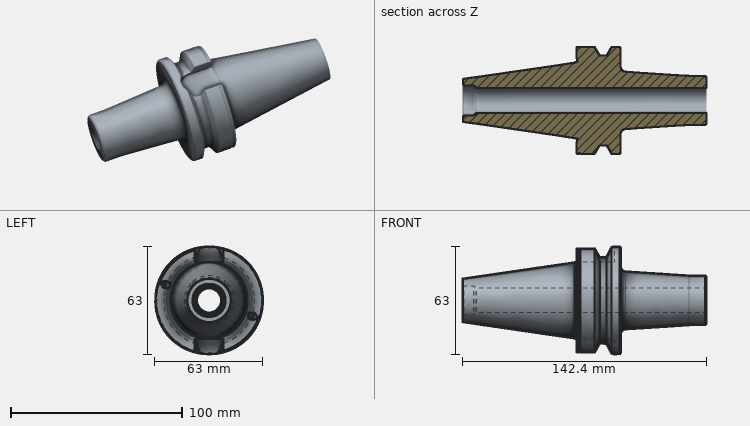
import cadquery as cq
import math

overall_length = 142.4

gauge_x = 65.4
gauge_radius = 22.2
taper_slope = 7 / 48
taper_end_radius = gauge_radius - gauge_x * taper_slope

collar_x = 65.8
collar_radius = 22.5

flange_front_x = 66.4
flange_back_x = 92.4
flange_radius = 31.5
flange_front_round = 0.9
flange_back_chamfer = 0.9
recess_radius = 25.0
recess_depth = 0.5

grip_center_x = 82.0
grip_width = 10.0
grip_root_radius = 26.5
grip_root_round = 0.4
grip_lean = math.radians(30)

ring_groove_x = 68.0
ring_groove_width = 1.3
ring_groove_root_width = 0.4
ring_groove_depth = 0.4

nose_radius = 14.5
nose_length = 10.1
nose_chamfer = 1.0
neck_radius = 17.0
neck_round = 2.5

slot_width = 16.1
slot_end_x = 88.7
slot_floor = collar_radius
slot_chamfer = 0.4

bore_radius = 7.1
thread_radius = 8.0
counterbore_radius = 8.5
counterbore_depth = 6.4
thread_entry_length = 0.9
mouth_radius = 9.7
mouth_angle = math.radians(60)

coolant_diameter = 4.1
coolant_position_radius = 26.9
coolant_angle = 20.0
coolant_tilt = 36.0
coolant_depth = 1.7

cutter_overrun = 1.4


def revolve_profile(points):
    """Revolve a closed (x, radius) outline about the X axis."""
    outline = cq.Workplane("XZ").polyline(points).close()
    return outline.revolve(360, (0, 0, 0), (1, 0, 0))


def make_taper():
    """Taper and collar, reaching through the flange."""
    return revolve_profile([
        (0, 0),
        (0, taper_end_radius),
        (gauge_x, gauge_radius),
        (collar_x, collar_radius),
        (flange_back_x, collar_radius),
        (flange_back_x, 0),
    ])


def make_flange():
    blank = revolve_profile([
        (flange_front_x + recess_depth, 0),
        (flange_front_x + recess_depth, collar_radius),
        (flange_front_x, recess_radius),
        (flange_front_x, flange_radius),
        (flange_back_x, flange_radius),
        (flange_back_x, 0),
    ])
    blank = blank.faces(">X").edges().chamfer(flange_back_chamfer)
    rim_edge = cq.selectors.RadiusNthSelector(-1)
    return blank.faces("<X").edges(rim_edge).fillet(flange_front_round)


def make_grip_groove():
    wall_run = (flange_radius - grip_root_radius) * math.tan(grip_lean)
    half_mouth = grip_width / 2
    half_root = half_mouth - wall_run
    ring = revolve_profile([
        (grip_center_x - half_mouth, flange_radius),
        (grip_center_x - half_root, grip_root_radius),
        (grip_center_x + half_root, grip_root_radius),
        (grip_center_x + half_mouth, flange_radius),
    ])
    return ring.edges(cq.selectors.RadiusNthSelector(0)).fillet(grip_root_round)


def make_ring_groove():
    half_mouth = ring_groove_width / 2
    half_root = ring_groove_root_width / 2
    root = flange_radius - ring_groove_depth
    return revolve_profile([
        (ring_groove_x - half_mouth, flange_radius),
        (ring_groove_x - half_root, root),
        (ring_groove_x + half_root, root),
        (ring_groove_x + half_mouth, flange_radius),
    ])


def make_nose():
    nose_start_x = overall_length - nose_length
    neck_x = flange_back_x + neck_round
    outline = (
        cq.Workplane("XZ")
        .moveTo(flange_back_x, 0)
        .lineTo(flange_back_x, neck_radius + neck_round)
        .radiusArc((neck_x, neck_radius), -neck_round)
        .lineTo(nose_start_x, nose_radius)
        .lineTo(overall_length, nose_radius)
        .lineTo(overall_length, 0)
        .close()
    )
    nose = outline.revolve(360, (0, 0, 0), (1, 0, 0))
    return nose.faces(">X").edges().chamfer(nose_chamfer)


def make_drive_slot():
    """Cutter for the drive slot on the +Z side."""
    end_radius = slot_width / 2
    height = flange_radius + cutter_overrun - slot_floor
    straight = slot_end_x - end_radius - gauge_x
    return (
        cq.Workplane("XY", origin=(0, 0, slot_floor))
        .moveTo(gauge_x, -end_radius)
        .line(straight, 0)
        .threePointArc((slot_end_x, 0), (slot_end_x - end_radius, end_radius))
        .line(-straight, 0)
        .close()
        .extrude(height)
    )


def make_slot_lead_in():
    """Chamfer cutter for the two front edges of a slot."""
    half = slot_width / 2
    height = flange_radius + cutter_overrun - slot_floor
    return (
        cq.Workplane("XY", origin=(0, 0, slot_floor))
        .polyline([
            (flange_front_x, -half - slot_chamfer),
            (flange_front_x + slot_chamfer, -half),
            (flange_front_x + slot_chamfer, half),
            (flange_front_x, half + slot_chamfer),
        ])
        .close()
        .extrude(height)
    )


def make_slot_rim_chamfer():
    """Chamfer cutter for the two slot edges on the flange rim, up to the gripper groove."""
    half = slot_width / 2
    rim_edge_z = math.sqrt(flange_radius ** 2 - half ** 2)
    chamfer_start_z = rim_edge_z - slot_chamfer
    rise = 2 * slot_chamfer
    return (
        cq.Workplane("YZ", origin=(flange_front_x, 0, 0))
        .polyline([
            (-half, chamfer_start_z),
            (half, chamfer_start_z),
            (half + rise, chamfer_start_z + rise),
            (-half - rise, chamfer_start_z + rise),
        ])
        .close()
        .extrude(grip_center_x - flange_front_x)
    )


def make_bore():
    mouth_depth = (mouth_radius - counterbore_radius) / math.tan(mouth_angle)
    thread_lead_x = counterbore_depth + thread_entry_length
    bore_start_x = thread_lead_x + thread_radius - bore_radius
    return revolve_profile([
        (0, 0),
        (0, mouth_radius),
        (mouth_depth, counterbore_radius),
        (counterbore_depth, counterbore_radius),
        (counterbore_depth, thread_radius),
        (thread_lead_x, thread_radius),
        (bore_start_x, bore_radius),
        (overall_length, bore_radius),
        (overall_length, 0),
    ])


def make_coolant_pocket():
    """Round pocket in the +Y side of the flange face, leaning towards the axis."""
    tilt = math.radians(coolant_tilt)
    direction = cq.Vector(math.cos(tilt), -math.sin(tilt), 0)
    entry = cq.Vector(flange_front_x, coolant_position_radius, 0)
    start = entry - direction * coolant_diameter
    length = coolant_depth + coolant_diameter
    pocket = cq.Solid.makeCylinder(coolant_diameter / 2, length, start, direction)
    return cq.Workplane(pocket).rotate((0, 0, 0), (1, 0, 0), coolant_angle)


flange = make_flange().cut(make_grip_groove()).cut(make_ring_groove())
cutters = (make_drive_slot(), make_slot_lead_in(), make_slot_rim_chamfer(), make_coolant_pocket())
for turn in (0, 180):
    for cutter in cutters:
        flange = flange.cut(cutter.rotate((0, 0, 0), (1, 0, 0), turn))

result = make_taper().union(flange).union(make_nose()).cut(make_bore())